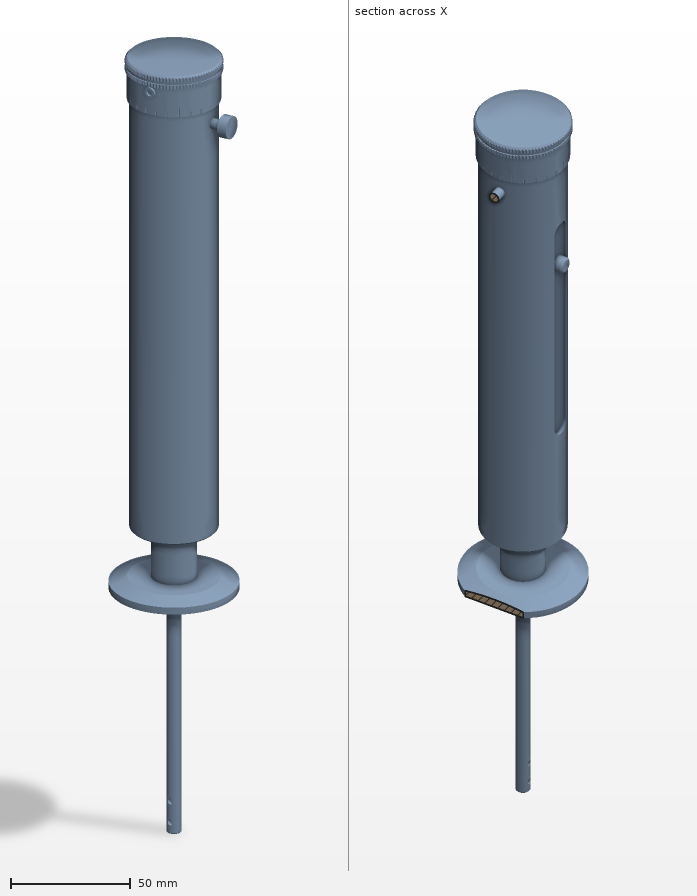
import cadquery as cq
import math

TOTAL_LENGTH = 356.7

ROD_DIAMETER = 6.5
ROD_TIP_CHAMFER = 0.5
ROD_HOLE_DIAMETER = 2.65
ROD_HOLE_HEIGHTS = (5.5, 15.0)

FLANGE_DIAMETER = 55.0
FLANGE_FLAT_DIAMETER = 39.2
FLANGE_BOTTOM = 112.5
FLANGE_RIM_HEIGHT = 3.2
FLANGE_HEIGHT = 5.5

NECK_DIAMETER = 19.3
COLLAR_DIAMETER = 21.0
COLLAR_HEIGHT = 1.0

HOUSING_DIAMETER = 37.5
HOUSING_BOTTOM = 140.2
HOUSING_CHAMFER = 0.7

DIAL_DIAMETER = 39.5
DIAL_BOTTOM = 338.0
DIVISIONS = 25
DIVISIONS_PER_LONG_MARK = 5
FIRST_LONG_MARK_ANGLE = -54
MARK_DEPTH = 0.5
SHORT_MARK_HEIGHT = 2.0
LONG_MARK_HEIGHT = 4.3

CAP_DIAMETER = 41.5
CAP_HEIGHT = 5.7
CAP_CHAMFER = 1.0
CAP_GROOVE_WIDTH = 1.5
CAP_GROOVE_DEPTH = 0.7
CAP_GROOVE_BOTTOM = 1.8
CAP_FLUTES = 90
CAP_FLUTE_DEPTH = 0.55

PIN_DIAMETER = 4.5
PIN_REACH = 20.7
PIN_DROP = 8.5
PIN_SOCKET_DIAMETER = 2.65
PIN_SOCKET_DEPTH = 1.0

KNOB_HEIGHT = 330.5
KNOB_STEM_DIAMETER = 4.5
KNOB_HEAD_DIAMETER = 10.0
KNOB_HEAD_LENGTH = 4.3
KNOB_REACH = 28.0

SLOT_WIDTH = 9.3
SLOT_DEPTH = 1.8
SLOT_BOTTOM = 197.0
SLOT_TOP = 309.0
BUTTON_DIAMETER = 7.0
BUTTON_HEIGHT = 286.8
BUTTON_REACH = 21.0
BUTTON_CHAMFER = 0.7


def disc(diameter, bottom, top):
    """Cylinder on the main axis between two heights."""
    return cq.Workplane("XY").workplane(offset=bottom).circle(diameter / 2).extrude(top - bottom)


def make_rod():
    rod = disc(ROD_DIAMETER, 0, HOUSING_BOTTOM).faces("<Z").chamfer(ROD_TIP_CHAMFER)
    hole_centres = [(0, height) for height in ROD_HOLE_HEIGHTS]
    holes = (
        cq.Workplane("XZ")
        .pushPoints(hole_centres)
        .circle(ROD_HOLE_DIAMETER / 2)
        .extrude(ROD_DIAMETER, both=True)
    )
    return rod.cut(holes)


def make_flange():
    rim_top = FLANGE_BOTTOM + FLANGE_RIM_HEIGHT
    flange_top = FLANGE_BOTTOM + FLANGE_HEIGHT
    profile = [
        (0, FLANGE_BOTTOM),
        (FLANGE_DIAMETER / 2, FLANGE_BOTTOM),
        (FLANGE_DIAMETER / 2, rim_top),
        (FLANGE_FLAT_DIAMETER / 2, flange_top),
        (0, flange_top),
    ]
    return cq.Workplane("XZ").polyline(profile).close().revolve(360, (0, 0), (0, 1))


def make_neck():
    neck = disc(NECK_DIAMETER, FLANGE_BOTTOM, HOUSING_BOTTOM)
    collar = disc(COLLAR_DIAMETER, HOUSING_BOTTOM - COLLAR_HEIGHT, HOUSING_BOTTOM)
    return neck.union(collar)


def make_housing():
    housing = disc(HOUSING_DIAMETER, HOUSING_BOTTOM, DIAL_BOTTOM)
    housing = housing.faces("<Z").chamfer(HOUSING_CHAMFER)
    slot_floor = HOUSING_DIAMETER / 2 - SLOT_DEPTH
    slot = (
        cq.Workplane("XZ", origin=(0, slot_floor, (SLOT_BOTTOM + SLOT_TOP) / 2))
        .slot2D(SLOT_TOP - SLOT_BOTTOM, SLOT_WIDTH, 90)
        .extrude(-2 * SLOT_DEPTH)
    )
    button = (
        cq.Workplane("XZ", origin=(0, 0, BUTTON_HEIGHT))
        .circle(BUTTON_DIAMETER / 2)
        .extrude(-BUTTON_REACH)
        .faces(">Y")
        .chamfer(BUTTON_CHAMFER)
    )
    return housing.cut(slot).union(button)


def v_cutter(diameter, depth, bottom, height, angle):
    """Square bar set on edge, for cutting a 90 degree V groove along Z into a round face."""
    return (
        cq.Workplane("XY")
        .rect(math.sqrt(2) * depth, math.sqrt(2) * depth)
        .extrude(height)
        .rotate((0, 0, 0), (0, 0, 1), 45)
        .translate((diameter / 2, 0, bottom))
        .rotate((0, 0, 0), (0, 0, 1), angle)
    )


def make_dial():
    dial = disc(DIAL_DIAMETER, DIAL_BOTTOM, TOTAL_LENGTH - CAP_HEIGHT)
    for division in range(DIVISIONS):
        is_long = division % DIVISIONS_PER_LONG_MARK == 0
        mark_height = LONG_MARK_HEIGHT if is_long else SHORT_MARK_HEIGHT
        angle = FIRST_LONG_MARK_ANGLE + division * 360 / DIVISIONS
        dial = dial.cut(v_cutter(DIAL_DIAMETER, MARK_DEPTH, DIAL_BOTTOM, mark_height, angle))
    pin = (
        cq.Workplane("XZ", origin=(0, 0, TOTAL_LENGTH - PIN_DROP))
        .circle(PIN_DIAMETER / 2)
        .extrude(PIN_REACH)
        .faces("<Y")
        .workplane()
        .hole(PIN_SOCKET_DIAMETER, PIN_SOCKET_DEPTH)
    )
    return dial.union(pin)


def fluted_bar(bottom, height):
    """Bar whose outline zigzags between the crests and roots of the cap's V flutes."""
    crest_radius = CAP_DIAMETER / 2
    root_radius = crest_radius - CAP_FLUTE_DEPTH
    outline = []
    for corner in range(2 * CAP_FLUTES):
        radius = crest_radius if corner % 2 == 0 else root_radius
        angle = corner * math.pi / CAP_FLUTES
        outline.append((radius * math.cos(angle), radius * math.sin(angle)))
    return cq.Workplane("XY").workplane(offset=bottom).polyline(outline).close().extrude(height)


def make_cap():
    cap_bottom = TOTAL_LENGTH - CAP_HEIGHT
    groove_bottom = cap_bottom + CAP_GROOVE_BOTTOM
    groove_top = groove_bottom + CAP_GROOVE_WIDTH
    groove_diameter = CAP_DIAMETER - 2 * CAP_GROOVE_DEPTH
    cap = disc(CAP_DIAMETER, cap_bottom, TOTAL_LENGTH).faces(">Z").chamfer(CAP_CHAMFER)
    groove = disc(2 * CAP_DIAMETER, groove_bottom, groove_top)
    groove = groove.cut(disc(groove_diameter, groove_bottom, groove_top))
    cap = cap.cut(groove)
    return cap.intersect(fluted_bar(cap_bottom, CAP_HEIGHT))


def make_knob():
    stem = (
        cq.Workplane("YZ", origin=(0, 0, KNOB_HEIGHT))
        .circle(KNOB_STEM_DIAMETER / 2)
        .extrude(KNOB_REACH)
    )
    head = (
        cq.Workplane("YZ", origin=(KNOB_REACH - KNOB_HEAD_LENGTH, 0, KNOB_HEIGHT))
        .circle(KNOB_HEAD_DIAMETER / 2)
        .extrude(KNOB_HEAD_LENGTH)
    )
    return stem.union(head)


result = make_housing()
for component in (make_rod(), make_flange(), make_neck(), make_dial(), make_cap(), make_knob()):
    result = result.union(component)